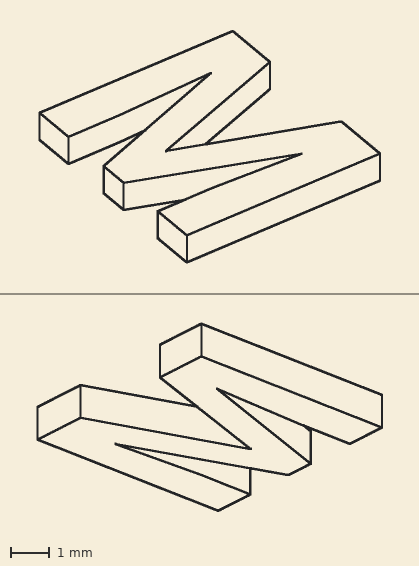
import cadquery as cq

width = 6.84
height = 5.72
thickness = 1.0

slant = 0.99
foot_width = 1.152
left_top_width = 1.48
right_top_width = 1.54
right_foot_end = width - slant

valley_x = 3.175
valley_y = 1.58
vertex_left = 2.545
vertex_right = 3.345

left_notch_x = 1.782
left_notch_y = 4.30
right_notch_x = 5.53
right_notch_y = 4.18

left_bend_x = 1.412
left_bend_y = 1.53
right_bend_x = 4.973
right_bend_y = 1.62

outline = [
    (0, 0),
    (slant, height),
    (slant + left_top_width, height),
    (valley_x, valley_y),
    (width - right_top_width, height),
    (width, height),
    (right_foot_end, 0),
    (right_foot_end - foot_width, 0),
    (right_bend_x, right_bend_y),
    (right_notch_x, right_notch_y),
    (vertex_right, 0),
    (vertex_left, 0),
    (left_notch_x, left_notch_y),
    (left_bend_x, left_bend_y),
    (foot_width, 0),
]

result = cq.Workplane("XY").polyline(outline).close().extrude(thickness)